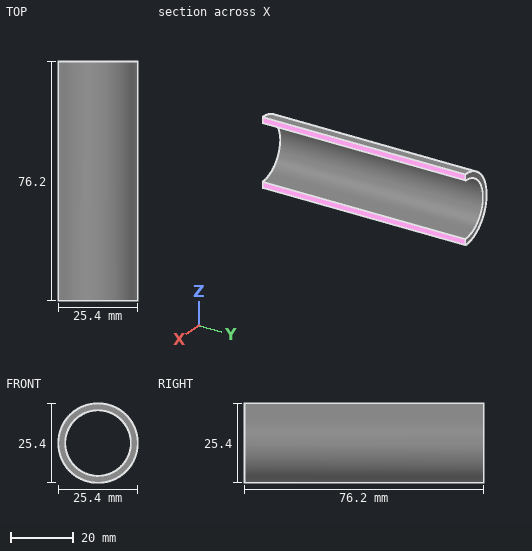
import cadquery as cq

length = 76.2
outer_diameter = 25.4
wall_thickness = 2.3
inner_diameter = outer_diameter - 2 * wall_thickness

result = (
    cq.Workplane("XZ", origin=(0, length / 2, 0))
    .circle(outer_diameter / 2)
    .circle(inner_diameter / 2)
    .extrude(length)
)